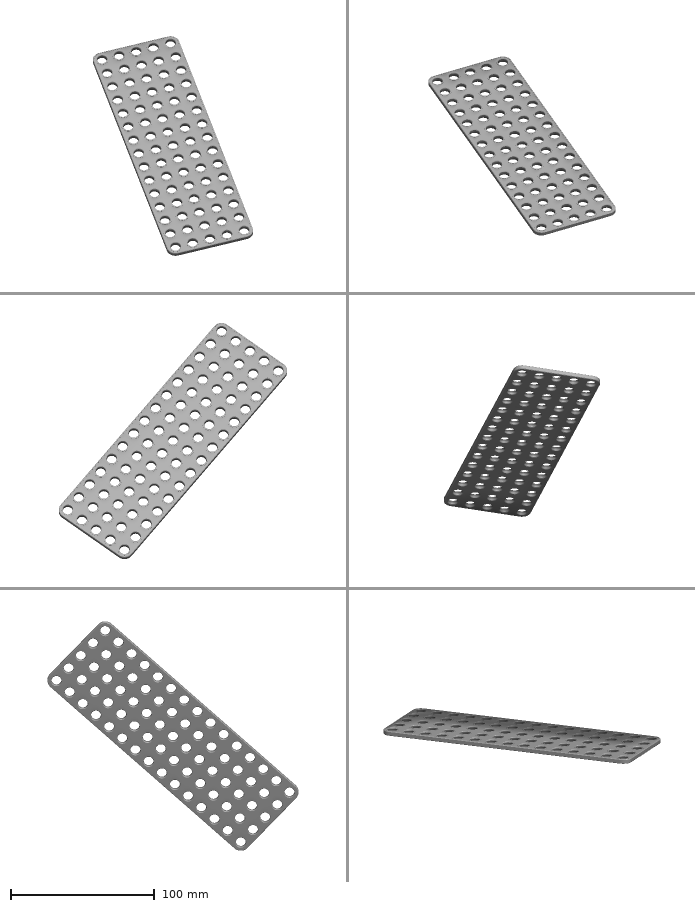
import cadquery as cq

length = 187.5
columns = 15
rows = 5
pitch = length / columns
width = rows * pitch
thickness = 3.2
corner_radius = pitch / 2
edge_chamfer = 0.4

recess_depth = 0.2
rim_width = 0.85
ring_diameter = 9.2
hole_diameter = 7.0


def make_rounded_plate(inset, height):
    """Rounded plate on Z = 0, with its outline moved inward by the inset."""
    return (
        cq.Workplane("XY")
        .rect(length - 2 * inset, width - 2 * inset)
        .extrude(height)
        .edges("|Z")
        .fillet(corner_radius - inset)
    )


def make_recess():
    """Volume removed from the top face between the rim and the rings."""
    rings = (
        cq.Workplane("XY")
        .rarray(pitch, pitch, columns, rows)
        .circle(ring_diameter / 2)
        .extrude(recess_depth)
    )
    recess = make_rounded_plate(rim_width, recess_depth).cut(rings)
    return recess.translate((0, 0, thickness - recess_depth))


def make_hole_cutter():
    """Through hole about the Z axis, chamfered at both ends."""
    bore_radius = hole_diameter / 2
    mouth_radius = bore_radius + edge_chamfer
    profile = (
        cq.Workplane("XZ")
        .lineTo(mouth_radius, 0)
        .lineTo(bore_radius, edge_chamfer)
        .lineTo(bore_radius, thickness - edge_chamfer)
        .lineTo(mouth_radius, thickness)
        .lineTo(0, thickness)
        .close()
    )
    return profile.revolve(360, (0, 0, 0), (0, 1, 0)).val()


hole_cutter = make_hole_cutter()
holes = (
    cq.Workplane("XY")
    .rarray(pitch, pitch, columns, rows)
    .eachpoint(lambda location: hole_cutter.moved(location))
)

plate = make_rounded_plate(0, thickness).faces("<Z or >Z").chamfer(edge_chamfer)
result = plate.cut(make_recess()).cut(holes)